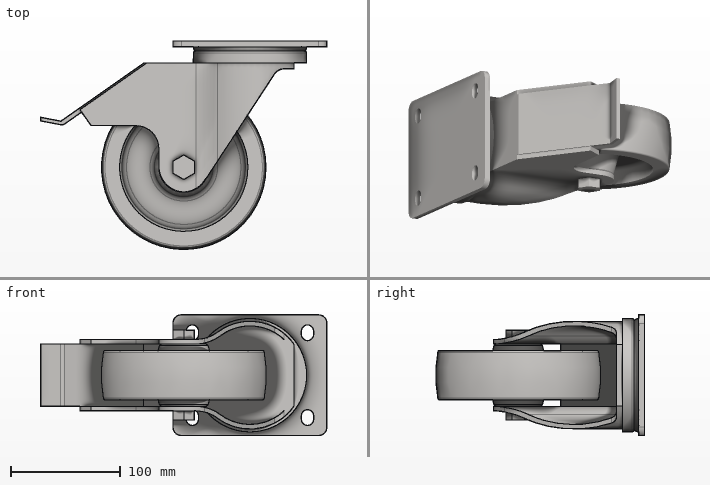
import cadquery as cq
import math


wheel_radius = 75.0
tread_edge_radius = 73.2
wheel_half_width = 22.5
tread_edge_round = 1.5
rim_face_radius = 58.4
rim_root_radius = 55.5
web_half_thickness = 7.3
web_fillet = 4.2
hub_root_radius = 27.5
hub_end_radius = 22.1
hub_end_round = 1.5

plate_top = 115.0
plate_length = 140.1
plate_width = 110.0
plate_thickness = 5.5
plate_corner_radius = 7.8
hole_width = 11.0
hole_length = 14.0
hole_pitch_x = 104.7
hole_pitch_z = 77.0

swivel_x = 60.2
ring_radius = 103.2 / 2
groove_y = 105.5
ring_round = 1.8

fork_top = 94.8
crown_thickness = 5.5
crown_bottom = fork_top - crown_thickness
crown_end_x = 100.3
fork_sheet = 4.2
leg_half_gap = 28.5
leg_outer = leg_half_gap + fork_sheet
leg_flat_end_x = 11.0
fork_round_radius = 49.0
leg_end_radius = 22.7
front_edge_angle = 56.8
front_edge_fillet = 10.5
leg_tail_bottom = 37.8
leg_tail_fillet = 20.8
leg_tail_top_x = -33.5
leg_tail_edge_length = 74.2

lever_angle = 35.0
lever_sheet = 4.2
lever_top_x = -36.2
lever_bend_x = -111.8
lever_tip_x = -130.2
pedal_angle = 11.0
pedal_sheet = 3.5
lever_bend_outer_radius = 4.7

bolt_across_flats = 19.3
bolt_head_height = 8.3


def make_wheel():
    """Crowned tread, dished web and tapered hub that reaches the fork legs."""
    corner_z = wheel_half_width - tread_edge_round
    face_radius = tread_edge_radius - tread_edge_round
    round_mid = tread_edge_round * math.sqrt(0.5)
    hub_round_radius = hub_end_radius - hub_end_round
    hub_round_z = leg_half_gap - hub_end_round
    profile = (
        cq.Workplane("XZ")
        .moveTo(0, -leg_half_gap)
        .lineTo(hub_round_radius, -leg_half_gap)
        .lineTo(hub_end_radius, -hub_round_z)
        .lineTo(hub_root_radius, -web_half_thickness)
        .lineTo(rim_root_radius, -web_half_thickness)
        .lineTo(rim_face_radius, -wheel_half_width)
        .lineTo(face_radius, -wheel_half_width)
        .threePointArc((face_radius + round_mid, -corner_z - round_mid), (tread_edge_radius, -corner_z))
        .threePointArc((wheel_radius, 0), (tread_edge_radius, corner_z))
        .threePointArc((face_radius + round_mid, corner_z + round_mid), (face_radius, wheel_half_width))
        .lineTo(rim_face_radius, wheel_half_width)
        .lineTo(rim_root_radius, web_half_thickness)
        .lineTo(hub_root_radius, web_half_thickness)
        .lineTo(hub_end_radius, hub_round_z)
        .lineTo(hub_round_radius, leg_half_gap)
        .lineTo(0, leg_half_gap)
        .close()
    )
    wheel = profile.revolve(360, (0, 0, 0), (0, 1, 0))
    slab_half = web_half_thickness + web_fillet / 10
    web_slab = cq.selectors.BoxSelector(
        (-wheel_radius, -wheel_radius, -slab_half),
        (wheel_radius, wheel_radius, slab_half),
        boundingbox=True,
    )
    return wheel.edges(web_slab).edges("%CIRCLE").fillet(web_fillet)


def plan_plane(y, x=0):
    """Plane square to Y whose local axes run along X and Z; negative extrusion goes to +Y."""
    return cq.Workplane("XZ", origin=(x, y, 0))


def make_mounting_plate():
    plate = (
        plan_plane(plate_top - plate_thickness, swivel_x)
        .rect(plate_length, plate_width)
        .extrude(-plate_thickness)
        .edges("|Y")
        .fillet(plate_corner_radius)
    )
    holes = (
        plan_plane(plate_top - plate_thickness, swivel_x)
        .rect(hole_pitch_x, hole_pitch_z, forConstruction=True)
        .vertices()
        .slot2D(hole_length, hole_width, 90)
        .extrude(-plate_thickness)
    )
    return plate.cut(holes)


def make_swivel_ring():
    """Ring and rounded collar that meet in a narrow groove below the mounting plate."""
    plate_bottom = plate_top - plate_thickness
    round_mid = ring_round * (1 - math.sqrt(0.5))
    collar_height = plate_bottom - groove_y
    collar_round = (ring_round**2 + collar_height**2) / (2 * ring_round)
    collar_half_angle = math.asin(collar_height / collar_round) / 2
    collar_mid_radius = ring_radius - collar_round * (1 - math.cos(collar_half_angle))
    collar_mid_y = plate_bottom - collar_round * math.sin(collar_half_angle)
    profile = (
        cq.Workplane("XY", origin=(swivel_x, 0, 0))
        .moveTo(0, fork_top)
        .lineTo(ring_radius, fork_top)
        .lineTo(ring_radius, groove_y - ring_round)
        .threePointArc((ring_radius - round_mid, groove_y - round_mid), (ring_radius - ring_round, groove_y))
        .threePointArc((collar_mid_radius, collar_mid_y), (ring_radius, plate_bottom))
        .lineTo(0, plate_bottom)
        .close()
    )
    return profile.revolve(360, (0, 0, 0), (0, 1, 0))


def fork_plan(inset):
    """Tall solid bounded by the fork's bent sheet, moved inwards by the inset.

    Straight legs flare through a concave bend into a round about the swivel axis.
    """
    side = leg_outer - inset
    round_radius = fork_round_radius - inset
    reach = swivel_x - leg_flat_end_x
    bend_radius = (reach**2 + leg_outer**2 - fork_round_radius**2) / (2 * (fork_round_radius - leg_outer))
    bend_z = leg_outer + bend_radius
    flare = math.atan2(reach, bend_z)
    bend_sheet_radius = bend_radius + inset
    bend_mid_x = leg_flat_end_x + bend_sheet_radius * math.sin(flare / 2)
    bend_mid_z = bend_z - bend_sheet_radius * math.cos(flare / 2)
    tangent_x = swivel_x - round_radius * math.sin(flare)
    tangent_z = round_radius * math.cos(flare)
    return (
        plan_plane(-leg_end_radius)
        .moveTo(lever_tip_x, -side)
        .lineTo(leg_flat_end_x, -side)
        .threePointArc((bend_mid_x, -bend_mid_z), (tangent_x, -tangent_z))
        .threePointArc((swivel_x + round_radius, 0), (tangent_x, tangent_z))
        .threePointArc((bend_mid_x, bend_mid_z), (leg_flat_end_x, side))
        .lineTo(lever_tip_x, side)
        .close()
        .extrude(-(fork_top + leg_end_radius))
    )


def fork_side():
    """Side outline of the fork, wide enough to trim both legs."""
    slope = math.radians(lever_angle)
    tail_x = leg_tail_top_x - leg_tail_edge_length * math.cos(slope)
    tail_y = fork_top - leg_tail_edge_length * math.sin(slope)
    tail_foot_x = tail_x + (tail_y - leg_tail_bottom) * math.tan(slope)
    fillet_mid = leg_tail_fillet * math.sqrt(0.5)
    fillet_x = -leg_end_radius - leg_tail_fillet
    fillet_y = leg_tail_bottom - leg_tail_fillet

    edge = math.radians(front_edge_angle)
    tangent_x = leg_end_radius * math.sin(edge)
    tangent_y = -leg_end_radius * math.cos(edge)
    corner_x = tangent_x + (crown_bottom - tangent_y) / math.tan(edge)
    outline = (
        cq.Workplane("XY", origin=(0, 0, -ring_radius))
        .moveTo(leg_tail_top_x, fork_top)
        .lineTo(tail_x, tail_y)
        .lineTo(tail_foot_x, leg_tail_bottom)
        .lineTo(fillet_x, leg_tail_bottom)
        .threePointArc((fillet_x + fillet_mid, fillet_y + fillet_mid), (-leg_end_radius, fillet_y))
        .lineTo(-leg_end_radius, 0)
        .threePointArc((0, -leg_end_radius), (tangent_x, tangent_y))
        .lineTo(corner_x, crown_bottom)
        .lineTo(crown_end_x, crown_bottom)
        .lineTo(crown_end_x, fork_top)
        .close()
        .extrude(2 * ring_radius)
    )
    corner = cq.selectors.NearestToPointSelector((corner_x, crown_bottom, 0))
    return outline.edges("|Z").edges(corner).fillet(front_edge_fillet)


def make_fork():
    walls = fork_plan(0).cut(fork_plan(fork_sheet)).intersect(fork_side())
    crown_block = cq.Workplane("XY").box(
        crown_end_x, crown_thickness, 2 * ring_radius, centered=(False, False, True)
    )
    crown = fork_plan(0).intersect(crown_block.translate((0, crown_bottom, 0)))
    return walls.union(crown)


def make_lever():
    """Sloping sheet between the legs, joined to the crown and bent up into a foot pedal."""
    slope = math.tan(math.radians(lever_angle))
    pedal_slope = math.tan(math.radians(pedal_angle))
    lever_drop = lever_sheet / math.cos(math.radians(lever_angle))
    pedal_drop = pedal_sheet / math.cos(math.radians(pedal_angle))
    bend_y = fork_top + (lever_bend_x - lever_top_x) * slope
    under_bend_x = lever_bend_x + (lever_drop - pedal_drop) / (slope + pedal_slope)
    under_bend_y = bend_y - lever_drop + (under_bend_x - lever_bend_x) * slope
    tip_y = bend_y + (lever_bend_x - lever_tip_x) * pedal_slope
    crown_corner_x = lever_top_x + (lever_drop - crown_thickness) / slope
    outline = [
        (0, fork_top),
        (lever_top_x, fork_top),
        (lever_bend_x, bend_y),
        (lever_tip_x, tip_y),
        (lever_tip_x, tip_y - pedal_drop),
        (under_bend_x, under_bend_y),
        (crown_corner_x, crown_bottom),
        (0, crown_bottom),
    ]
    mid_plane = cq.Workplane("XY")
    lever = mid_plane.polyline(outline).close().extrude(leg_half_gap, both=True)
    under_bend = cq.selectors.NearestToPointSelector((under_bend_x, under_bend_y, 0))
    return lever.edges("|Z").edges(under_bend).fillet(lever_bend_outer_radius)


def make_bolt():
    """Axle with a hexagonal head outside each leg, one corner pointing along Y."""
    across_corners = bolt_across_flats / math.cos(math.radians(30))
    half_length = leg_outer + bolt_head_height
    return (
        cq.Workplane("XY", origin=(0, 0, -half_length))
        .transformed(rotate=(0, 0, 90))
        .polygon(6, across_corners)
        .extrude(2 * half_length)
    )


result = (
    make_wheel()
    .union(make_fork())
    .union(make_lever())
    .union(make_swivel_ring())
    .union(make_mounting_plate())
    .union(make_bolt())
)